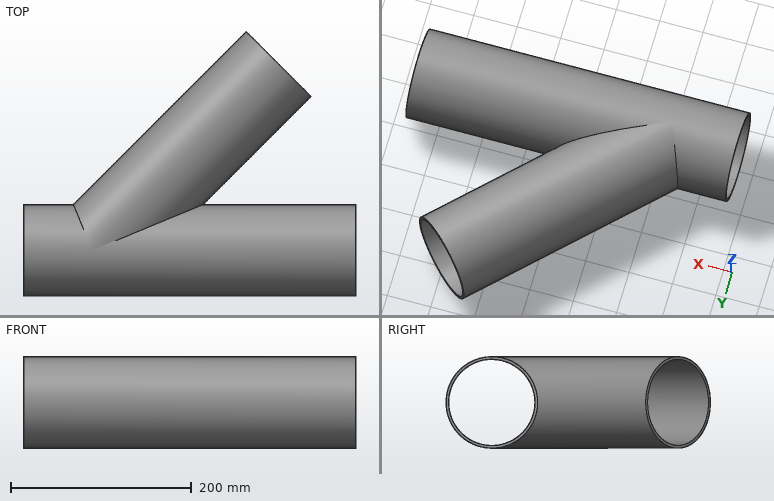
import cadquery as cq
import math

outer_diameter = 101.5
bore_diameter = 95.5
run_length = 368.3

branch_angle = 45.0
branch_start = 76.2
overall_width = 293.0

outer_radius = outer_diameter / 2
angle = math.radians(branch_angle)
rim_height = overall_width - outer_radius
branch_length = (rim_height - outer_radius * math.cos(angle)) / math.sin(angle)

run_plane = cq.Plane(origin=(0, 0, 0), xDir=(0, 1, 0), normal=(1, 0, 0))
branch_plane = cq.Plane(
    origin=(branch_start, 0, 0),
    xDir=(0, 0, 1),
    normal=(math.cos(angle), math.sin(angle), 0),
)


def wye(diameter):
    """Solid wye made of a straight run and an angled branch of one diameter."""
    run = cq.Workplane(run_plane).circle(diameter / 2).extrude(run_length)
    branch = cq.Workplane(branch_plane).circle(diameter / 2).extrude(branch_length)
    return run.union(branch)


result = wye(outer_diameter).cut(wye(bore_diameter))